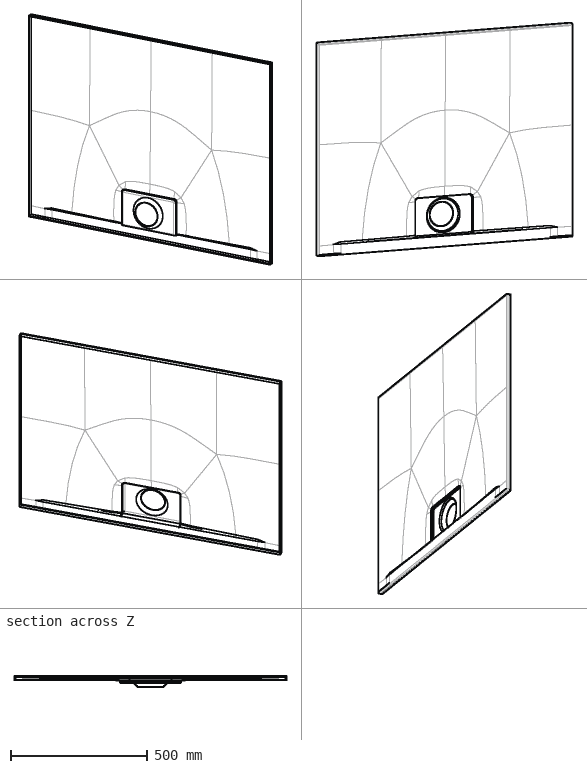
import cadquery as cq
import math

WIDTH = 1000.0
HEIGHT = 800.0
TOTAL_DEPTH = 42.0

RIM_DEPTH = 16.0
RIM_WALL = 7.0
RIM_CREST = 4.0
CORNER_RADIUS = 6.0
TOP_EDGE_FILLET = 4.0

SHEET = 6.0
EDGE_DEPTH = SHEET
MID_DEPTH = 11.0
APRON_DEPTH = 15.5
PAD_ROOT_DEPTH = 19.0
PAD_DEPTH = 28.5

SIDE_X = WIDTH / 2 - RIM_WALL
TOP_Z = HEIGHT / 2 - RIM_WALL
BOTTOM_Z = -TOP_Z

STRIP_TOP_Z = -359.0
WALL_WIDTH = 7.5
FLOOR_END_Z = STRIP_TOP_Z + WALL_WIDTH
RAMP_OUTER_X = 438.0
RAMP_INNER_X = 410.0

FOLD_X = 252.0
FOLD_Z = 8.0
FOLD_PEAK_Z = 112.0
FOLD_SIDE_Z = 20.0
FOLD_FOOT_X = 325.0

APRON_PEAK_Z = -174.0
APRON_SHOULDER = (101.0, -184.0)
APRON_CORNER = (128.0, -203.5)
APRON_HIP = (141.0, -225.0)
APRON_FOOT_X = 149.5

PAD_HALF_WIDTH = 113.0
PAD_TOP_Z = -213.0
PAD_CORNER_RADIUS = PAD_HALF_WIDTH - APRON_SHOULDER[0]
PAD_DRAFT = 2.5
PAD_EDGE_FILLET = 8.0
PAD_FACE_CORNER_RADIUS = PAD_CORNER_RADIUS - PAD_DRAFT

DRAIN_Z = -285.5
DRAIN_BORE = 90.0
CONE_BASE_DIAMETER = 121.0
CONE_TIP_DIAMETER = 93.0

INWARD = cq.Vector(1, 0, 0)
OUTWARD = cq.Vector(-1, 0, 0)
DOWNWARD = cq.Vector(0, 0, -1)
ARCH_START = cq.Vector(0.87, 0, 0.5)
LEG_START = cq.Vector(-0.37, 0, -0.93)
LEG_END = cq.Vector(-0.06, 0, -1)
SIDE_FOLD_END = cq.Vector(0.98, 0, -0.15)
SHOULDER_DIRECTION = cq.Vector(-0.94, 0, -0.34)
HIP_DIRECTION = cq.Vector(-0.3, 0, -0.95)


def point(x, z, depth):
    """Point on the underside of the left half; x is the distance from the middle."""
    return cq.Vector(-x, -depth, z)


def line(start, end):
    return cq.Edge.makeLine(start, end)


def arc(start, middle, end):
    return cq.Edge.makeThreePointArc(start, middle, end)


def curve(start, end, start_direction, end_direction):
    return cq.Edge.makeSpline([start, end], tangents=[start_direction, end_direction])


def lines_through(points):
    return [line(a, b) for a, b in zip(points, points[1:])]


def flat(edges):
    return cq.Face.makeFromWires(cq.Wire.assembleEdges(edges))


def ruled(edge_a, edge_b):
    return cq.Face.makeRuledSurface(edge_a, edge_b)


def filled(edges):
    return cq.Face.makeNSidedSurface(edges, [])


def ruled_chain(upper, lower):
    """Quadrilateral faces between two rows of matching points."""
    return [ruled(a, b) for a, b in zip(lines_through(upper), lines_through(lower))]


def floor_end_depth(x):
    """Depth of the sloping floor where it ends, between the rim and the fold foot."""
    return EDGE_DEPTH + (MID_DEPTH - EDGE_DEPTH) * (SIDE_X - x) / (SIDE_X - FOLD_FOOT_X)


def pad_corner(half_width, top_z, radius, depth):
    """Start, middle and end of a rounded upper corner of the pad."""
    centre_x = half_width - radius
    centre_z = top_z - radius
    reach = radius * math.cos(math.pi / 4)
    return (
        point(centre_x, top_z, depth),
        point(centre_x + reach, centre_z + reach, depth),
        point(half_width, centre_z, depth),
    )


def corner_halves(start, middle, end, centre):
    """The rounded corner as two arcs meeting at its middle."""
    radius = (start - centre).Length
    halves = []
    for a, b in ((start, middle), (middle, end)):
        toward_arc = ((a + b) * 0.5 - centre).normalized()
        halves.append(arc(a, centre + toward_arc * radius, b))
    return halves


def half_underside():
    """Underside faces of the left half, and the points along the border where they meet the rim."""
    rim_corner = point(SIDE_X, TOP_Z, EDGE_DEPTH)
    rim_fold = point(FOLD_X, TOP_Z, EDGE_DEPTH)
    rim_middle = point(0, TOP_Z, EDGE_DEPTH)
    side_fold = point(SIDE_X, FOLD_SIDE_Z, EDGE_DEPTH)
    fold = point(FOLD_X, FOLD_Z, MID_DEPTH)
    fold_peak = point(0, FOLD_PEAK_Z, MID_DEPTH)
    fold_foot = point(FOLD_FOOT_X, FLOOR_END_Z, MID_DEPTH)
    fold_arch = curve(fold, fold_peak, ARCH_START, INWARD)
    fold_leg = curve(fold, fold_foot, LEG_START, LEG_END)
    fold_side = curve(side_fold, fold, INWARD, SIDE_FOLD_END)

    peak = point(0, APRON_PEAK_Z, APRON_DEPTH)
    shoulder = point(*APRON_SHOULDER, APRON_DEPTH)
    corner = point(*APRON_CORNER, APRON_DEPTH)
    hip = point(*APRON_HIP, APRON_DEPTH)
    foot = point(APRON_FOOT_X, FLOOR_END_Z, APRON_DEPTH)
    apron_top = curve(peak, shoulder, OUTWARD, SHOULDER_DIRECTION)
    apron_side = curve(hip, foot, HIP_DIRECTION, DOWNWARD)
    apron_bend_top = line(shoulder, corner)
    apron_bend_side = line(corner, hip)

    root_mid = point(0, PAD_TOP_Z, PAD_ROOT_DEPTH)
    root = pad_corner(PAD_HALF_WIDTH, PAD_TOP_Z, PAD_CORNER_RADIUS, PAD_ROOT_DEPTH)
    root_foot = point(PAD_HALF_WIDTH, FLOOR_END_Z, PAD_ROOT_DEPTH)
    face_half_width = PAD_HALF_WIDTH - PAD_DRAFT
    face_top_z = PAD_TOP_Z - PAD_DRAFT
    face_foot_z = STRIP_TOP_Z + PAD_DRAFT
    face_mid = point(0, face_top_z, PAD_DEPTH)
    face = pad_corner(face_half_width, face_top_z, PAD_FACE_CORNER_RADIUS, PAD_DEPTH)
    face_foot = point(face_half_width, face_foot_z, PAD_DEPTH)
    face_foot_mid = point(0, face_foot_z, PAD_DEPTH)
    corner_x = PAD_HALF_WIDTH - PAD_CORNER_RADIUS
    corner_z = PAD_TOP_Z - PAD_CORNER_RADIUS
    root_arcs = corner_halves(*root, point(corner_x, corner_z, PAD_ROOT_DEPTH))
    face_arcs = corner_halves(*face, point(corner_x, corner_z, PAD_DEPTH))

    ramp_depth = floor_end_depth(RAMP_OUTER_X)
    side_end = point(SIDE_X, STRIP_TOP_Z, EDGE_DEPTH)
    ramp_outer = point(RAMP_OUTER_X, STRIP_TOP_Z, ramp_depth)
    ramp_inner = point(RAMP_INNER_X, FLOOR_END_Z, floor_end_depth(RAMP_INNER_X))
    floor_end = [ramp_inner, fold_foot, foot, root_foot, face_foot, face_foot_mid]
    strip_top = [point(-p.x, STRIP_TOP_Z, EDGE_DEPTH) for p in floor_end]
    strip_plan = [side_end, ramp_outer, strip_top[0], strip_top[-1]]
    strip_bottom = [cq.Vector(p.x, p.y, BOTTOM_Z) for p in strip_plan]

    faces = [
        ruled(line(rim_corner, rim_fold), fold_side),
        ruled(line(rim_fold, rim_middle), fold_arch),
        filled(
            [fold_side, fold_leg]
            + lines_through([fold_foot, ramp_inner, ramp_outer, side_end, side_fold])
        ),
        filled([fold_arch, line(fold_peak, peak), apron_top, apron_bend_top, line(corner, fold)]),
        filled([fold_leg, line(fold_foot, foot), apron_side, apron_bend_side, line(corner, fold)]),
        ruled(apron_top, line(root_mid, root[0])),
        ruled(apron_bend_top, root_arcs[0]),
        ruled(apron_bend_side, root_arcs[1]),
        ruled(apron_side, line(root[2], root_foot)),
        ruled(line(root_mid, root[0]), line(face_mid, face[0])),
        ruled(root_arcs[0], face_arcs[0]),
        ruled(root_arcs[1], face_arcs[1]),
        ruled(line(root[2], root_foot), line(face[2], face_foot)),
        flat(
            [line(face_mid, face[0])]
            + face_arcs
            + lines_through([face[2], face_foot, face_foot_mid, face_mid])
        ),
    ]

    faces += ruled_chain(floor_end, strip_top)
    faces += ruled_chain(strip_plan[:3], strip_bottom[:3])
    faces.append(flat(lines_through([ramp_outer, ramp_inner, strip_top[0], ramp_outer])))
    faces.append(flat(lines_through(strip_top + strip_bottom[:1:-1] + strip_top[:1])))

    border = [rim_middle, rim_fold, rim_corner, side_fold, side_end, *strip_bottom]
    return faces, border


def make_sheet():
    """The folded sheet: the underside, its copy on the walking side, and the cut edges."""
    faces, border = half_underside()
    lift = cq.Vector(0, SHEET, 0)
    faces = faces + [face.translate(lift) for face in faces]
    faces += ruled_chain(border, [p + lift for p in border])
    faces += [face.mirror("YZ") for face in faces]
    sheet = cq.Workplane(obj=cq.Solid.makeSolid(cq.Shell.makeShell(faces))).clean()
    return sheet.faces("<Y").edges().fillet(PAD_EDGE_FILLET)


def make_rim():
    """Frame around the sheet, its inner wall drafted from the sheet to the narrower crest."""
    plate = cq.Workplane("XZ").rect(WIDTH, HEIGHT).extrude(RIM_DEPTH)
    plate = plate.edges("|Y").fillet(CORNER_RADIUS)
    plate = plate.faces(">Y").edges().fillet(TOP_EDGE_FILLET)
    opening = cq.Workplane("XZ").rect(2 * SIDE_X, 2 * TOP_Z).extrude(RIM_DEPTH)
    crest_setback = 2 * RIM_CREST
    drafted_opening = (
        cq.Workplane("XZ", origin=(0, -EDGE_DEPTH, 0))
        .rect(2 * SIDE_X, 2 * TOP_Z)
        .workplane(offset=RIM_DEPTH - EDGE_DEPTH)
        .rect(WIDTH - crest_setback, HEIGHT - crest_setback)
        .loft(ruled=True)
    )
    return plate.cut(opening).cut(drafted_opening)


def drain_body(profile):
    """Body of revolution about the drain axis from (radius, depth) points."""
    axis_points = [(0, profile[-1][1]), (0, profile[0][1])]
    outline = [(radius, -depth) for radius, depth in profile + axis_points]
    body = cq.Workplane("XY").polyline(outline).close().revolve(360, (0, 0), (0, 1))
    return body.translate((0, 0, DRAIN_Z))


def make_drain_cone():
    base_radius = CONE_BASE_DIAMETER / 2
    cone_root_depth = PAD_DEPTH - SHEET / 2
    return drain_body(
        [
            (base_radius, cone_root_depth),
            (base_radius, PAD_DEPTH),
            (CONE_TIP_DIAMETER / 2, TOTAL_DEPTH),
        ]
    )


def make_drain_opening():
    """Passage that narrows parallel to the outer cone, open to the walking side."""
    pocket_depth = PAD_DEPTH - SHEET
    flare = (CONE_BASE_DIAMETER - CONE_TIP_DIAMETER) / 2 / (TOTAL_DEPTH - PAD_DEPTH)
    mouth_radius = DRAIN_BORE / 2 + flare * (TOTAL_DEPTH - pocket_depth)
    return drain_body(
        [
            (mouth_radius, 0),
            (mouth_radius, pocket_depth),
            (DRAIN_BORE / 2, TOTAL_DEPTH),
        ]
    )


tray = make_rim().union(make_sheet()).union(make_drain_cone())
result = tray.cut(make_drain_opening()).solids()